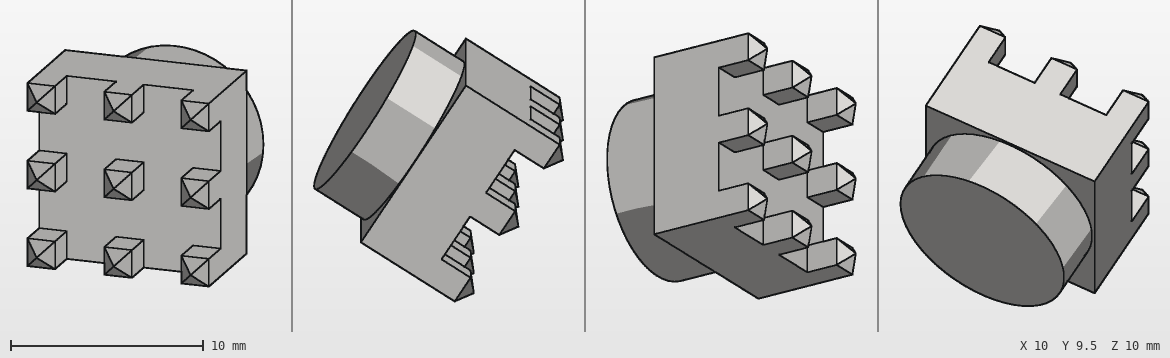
import cadquery as cq

body_side = 10.0
body_depth = 4.0

boss_diameter = 9.7
boss_length = 3.0

pin_rows = 3
pin_side = 1.52
pin_tip_length = 0.7
pin_shank_length = 1.8
pin_pitch = (body_side - pin_side) / (pin_rows - 1)


def make_pin(x, z):
    """Square pin centred at (x, z), ending in a four-sided pyramid."""
    shank = (
        cq.Workplane("XZ", origin=(x, 0, z))
        .rect(pin_side, pin_side)
        .extrude(pin_shank_length)
    )
    half = pin_side / 2
    base_y = -pin_shank_length
    corners = [
        cq.Vector(x + dx, base_y, z + dz)
        for dx, dz in ((-half, -half), (half, -half), (half, half), (-half, half))
    ]
    apex = cq.Vector(x, base_y - pin_tip_length, z)
    faces = [cq.Face.makeFromWires(cq.Wire.makePolygon(corners, close=True))]
    for start, end in zip(corners, corners[1:] + corners[:1]):
        side = cq.Wire.makePolygon([start, end, apex], close=True)
        faces.append(cq.Face.makeFromWires(side))
    tip = cq.Solid.makeSolid(cq.Shell.makeShell(faces))
    return shank.union(cq.Workplane(obj=tip))


result = cq.Workplane("XZ").rect(body_side, body_side).extrude(-body_depth)

boss = (
    cq.Workplane("XZ", origin=(0, body_depth, 0))
    .circle(boss_diameter / 2)
    .extrude(-boss_length)
)
result = result.union(boss)

middle = (pin_rows - 1) / 2
for column in range(pin_rows):
    for row in range(pin_rows):
        result = result.union(make_pin((column - middle) * pin_pitch, (row - middle) * pin_pitch))